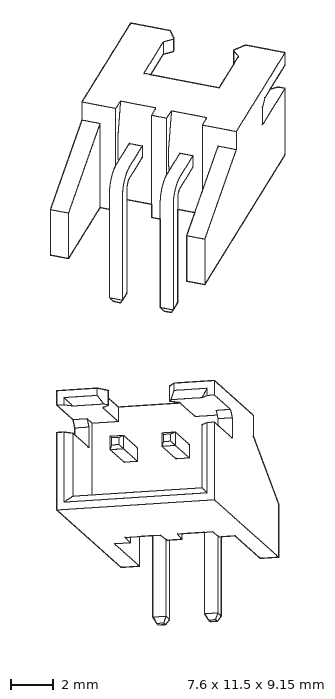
import cadquery as cq

housing_width = 7.6
overall_depth = 11.5
housing_height = 5.73
body_depth = 6.99
back_y = -body_depth

wing_thickness = 0.9
wing_front_height = 4.72
wing_end_height = 2.55

cavity_wall_x = 0.69
cavity_wall_z = 0.7
cavity_depth = 3.78
cavity_width = housing_width - 2 * cavity_wall_x
cavity_height = housing_height - 2 * cavity_wall_z
mouth_chamfer = 0.35

window_half_width = 1.85
lip_reach = 0.37
lip_tip_start_depth = 0.55
lip_tip_end_depth = 0.64
lip_end_depth = 1.01

slot_depth = 3.21
slot_height = 1.3
slot_top = housing_height - cavity_wall_z
slot_chamfer = 0.32

pin_pitch = 2.5
pin_thickness = 0.64
pin_top = 3.7
pin_tip_y = -1.01
pin_leg_back_y = -9.52
overall_height = 9.15
pin_bottom = housing_height - overall_height
bend_radius = 0.98
tip_length = 0.28
tip_inset = 0.15
pin_positions = [-pin_pitch / 2, pin_pitch / 2]

recess_width = 1.77
recess_inner_draft = 0.05
recess_outer_draft = 0.02
recess_wall_depth = 0.29
recess_top_depth = 0.65
recess_bottom_depth = 1.04
recess_wall_top = 3.91
recess_wall_bottom = 2.85


def make_side_profile():
    """Side outline of the wings, extruded across the full width."""
    return (
        cq.Workplane("YZ")
        .polyline([
            (0, 0),
            (-overall_depth, 0),
            (-overall_depth, wing_end_height),
            (back_y, wing_front_height),
            (back_y, housing_height),
            (0, housing_height),
        ])
        .close()
        .extrude(housing_width / 2, both=True)
    )


def make_wing_gap():
    """Space between the two wings, behind the body."""
    return cq.Workplane("XY").box(
        housing_width - 2 * wing_thickness, overall_depth - body_depth, housing_height,
        centered=(True, False, False),
    ).translate((0, -overall_depth, 0))


def make_cavity():
    """Mating cavity with a flared mouth."""
    cavity = cq.Workplane("XY").box(
        cavity_width, cavity_depth, cavity_height, centered=(True, False, False)
    ).translate((0, -cavity_depth, cavity_wall_z))
    mouth_center_z = cavity_wall_z + cavity_height / 2
    flare = (
        cq.Workplane("XZ", origin=(0, 0, mouth_center_z))
        .rect(cavity_width + 2 * mouth_chamfer, cavity_height + 2 * mouth_chamfer)
        .workplane(offset=mouth_chamfer)
        .rect(cavity_width, cavity_height)
        .loft(ruled=True)
    )
    return cavity.union(flare)


def make_window():
    """Opening through the roof, with its lips left standing."""
    lip_half_width = window_half_width - lip_reach
    right_edge = [
        (window_half_width, 0),
        (lip_half_width, -lip_tip_start_depth),
        (lip_half_width, -lip_tip_end_depth),
        (window_half_width, -lip_end_depth),
        (window_half_width, -cavity_depth),
    ]
    left_edge = [(-x, y) for x, y in reversed(right_edge)]
    roof_middle = housing_height / 2
    return (
        cq.Workplane("XY", origin=(0, 0, roof_middle))
        .polyline(right_edge + left_edge)
        .close()
        .extrude(housing_height - roof_middle)
    )


def make_side_slots():
    """Slot through both side walls with its upper inner corner cut off."""
    return (
        cq.Workplane("YZ")
        .polyline([
            (0, slot_top),
            (-slot_depth + slot_chamfer, slot_top),
            (-slot_depth, slot_top - slot_chamfer),
            (-slot_depth, slot_top - slot_height),
            (0, slot_top - slot_height),
        ])
        .close()
        .extrude(housing_width / 2, both=True)
    )


def make_recess(x):
    """Recess around a pin: an upright middle wall, deeper toward the top and bottom."""
    profile = (
        cq.Workplane("YZ", origin=(x, 0, 0))
        .polyline([
            (back_y, 0),
            (back_y + recess_bottom_depth, 0),
            (back_y + recess_wall_depth, recess_wall_bottom),
            (back_y + recess_wall_depth, recess_wall_top),
            (back_y + recess_top_depth, housing_height),
            (back_y, housing_height),
        ])
        .close()
        .extrude(recess_width / 2, both=True)
    )
    half_mouth = recess_width / 2
    left_draft = recess_outer_draft if x < 0 else recess_inner_draft
    right_draft = recess_inner_draft if x < 0 else recess_outer_draft
    end_y = back_y + recess_bottom_depth
    drafted_sides = (
        cq.Workplane("XY", origin=(x, 0, 0))
        .polyline([
            (-half_mouth, back_y),
            (half_mouth, back_y),
            (half_mouth - right_draft, end_y),
            (-half_mouth + left_draft, end_y),
        ])
        .close()
        .extrude(housing_height)
    )
    return profile.intersect(drafted_sides)


def make_tip(plane):
    """Tapered pin end that grows from the plane along its normal."""
    tip_width = pin_thickness - 2 * tip_inset
    return (
        cq.Workplane(plane)
        .rect(pin_thickness, pin_thickness)
        .workplane(offset=tip_length)
        .rect(tip_width, tip_width)
        .loft(ruled=True)
    )


def make_pin(x):
    """Square pin bent down at a right angle, tapered at both ends."""
    leg_front_y = pin_leg_back_y + pin_thickness
    shank_end_y = pin_tip_y - tip_length
    leg_end_z = pin_bottom + tip_length
    bar = (
        cq.Workplane("YZ", origin=(x, 0, 0))
        .polyline([
            (shank_end_y, pin_top),
            (pin_leg_back_y, pin_top),
            (pin_leg_back_y, leg_end_z),
            (leg_front_y, leg_end_z),
            (leg_front_y, pin_top - pin_thickness),
            (shank_end_y, pin_top - pin_thickness),
        ])
        .close()
        .extrude(pin_thickness / 2, both=True)
    )
    outer_corner = cq.selectors.NearestToPointSelector((x, pin_leg_back_y, pin_top))
    inner_corner = cq.selectors.NearestToPointSelector((x, leg_front_y, pin_top - pin_thickness))
    bar = bar.edges(outer_corner).fillet(bend_radius)
    bar = bar.edges(inner_corner).fillet(bend_radius - pin_thickness)

    mating_plane = cq.Plane(
        origin=(x, shank_end_y, pin_top - pin_thickness / 2), xDir=(1, 0, 0), normal=(0, 1, 0)
    )
    solder_plane = cq.Plane(
        origin=(x, pin_leg_back_y + pin_thickness / 2, leg_end_z), xDir=(1, 0, 0), normal=(0, 0, -1)
    )
    return bar.union(make_tip(mating_plane)).union(make_tip(solder_plane))


pins = [make_pin(x) for x in pin_positions]

housing = (
    make_side_profile()
    .cut(make_wing_gap())
    .cut(make_cavity())
    .cut(make_window())
    .cut(make_side_slots())
)
for x in pin_positions:
    housing = housing.cut(make_recess(x))
for pin in pins:
    housing = housing.cut(pin)

result = cq.Compound.makeCompound([housing.val(), *[pin.val() for pin in pins]])